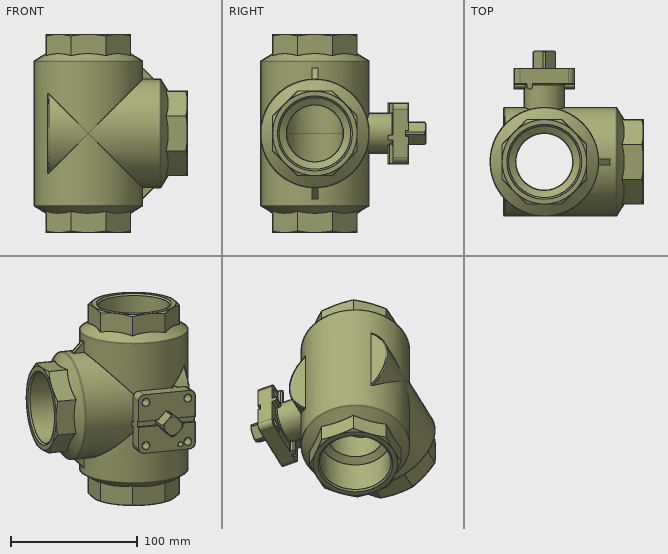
import cadquery as cq
import math


body_diameter = 86.0
body_radius = body_diameter / 2
port_reach = 78.5
shoulder_reach = 57.3
shoulder_angle = 32.0
back_face_reach = 32.2
buried_start = 31.4
branch_edge_round = 1.0
run_edge_round = 0.6

octagon_flats = 66.9
octagon_edge_angle = 25.0
bore_diameter = 45.0
thread_diameter = 56.7
thread_mouth_diameter = 59.3
thread_depth = 30.8
thread_floor_angle = 30.0

web_thickness = 4.7
web_reach = 94.8

neck_diameter = 32.0
collar_diameter = 33.9
collar_height = 1.0
flange_side = 48.0
flange_corner_radius = 4.9
flange_bottom = 61.9
flange_top = 74.1
flange_hole_diameter = 6.5
flange_hole_offset = 17.7
pin_hole_diameter = 4.1
pin_hole_x = -11.6
pin_hole_z = -19.5
notch_width = 4.5
notch_depth = 2.2
drive_side = 14.0
drive_diameter = 17.9
drive_top = 87.9
drive_bevel_height = 1.0
drive_bevel_width = 1.4

rib_width = 4.1
rib_height = 4.1
rib_tip_bevel_height = 1.4
rib_tip_bevel_width = 1.0
rib_foot = 0.6
z_rib_inner_end = 7.0
x_rib_inner_end = 14.1
z_rib_offset = 11.6
x_rib_offset = 3.3


def tan_deg(angle):
    return math.tan(math.radians(angle))


def revolve_about_z(points):
    """Solid of revolution about Z from (radius, height) points."""
    return cq.Workplane("XZ").polyline(points).close().revolve(360, (0, 0), (0, 1))


def revolve_about_y(points):
    """Solid of revolution about Y from (radius, height) points."""
    return cq.Workplane("XY").polyline(points).close().revolve(360, (0, 0), (0, 1))


def turn_to_x(solid):
    """Swing a solid built along +Z so that it points along +X."""
    return solid.rotate((0, 0, 0), (0, 1, 0), 90)


def cylinder_y(diameter, start, end):
    """Cylinder on the Y axis between two heights."""
    return cq.Workplane("XZ", origin=(0, start, 0)).circle(diameter / 2).extrude(start - end)


def shoulder_profile():
    """Points of the cylinder edge and the conical shoulder around a port, along +Z."""
    inner_radius = thread_diameter / 2
    height = (body_radius - inner_radius) * tan_deg(shoulder_angle)
    return [
        (body_radius, shoulder_reach),
        (inner_radius, shoulder_reach + height),
        (0, shoulder_reach + height),
    ]


def round_rim(solid, height, radius):
    """Round the outer circular edge at a given height on Z."""
    near = cq.selectors.BoxSelector(
        (-body_radius - 1.5, -body_radius - 1.5, height - 0.2),
        (body_radius + 1.5, body_radius + 1.5, height + 0.2),
        boundingbox=True,
    )
    return solid.edges(near).edges("%CIRCLE").fillet(radius)


def octagon_end():
    """Octagonal port end along +Z with its corners bevelled at the end face."""
    corner_diameter = octagon_flats / math.cos(math.pi / 8)
    prism = (
        cq.Workplane("XY", origin=(0, 0, buried_start))
        .transformed(rotate=(0, 0, 22.5))
        .polygon(8, corner_diameter)
        .extrude(port_reach - buried_start)
    )
    flat_radius = octagon_flats / 2
    drop = tan_deg(octagon_edge_angle) * (body_radius - flat_radius)
    envelope = revolve_about_z([
        (0, 0),
        (body_radius, 0),
        (body_radius, port_reach - drop),
        (flat_radius, port_reach),
        (0, port_reach),
    ])
    return prism.intersect(envelope)


def port_bore():
    """Bore from the centre out through one port along +Z."""
    bore_radius = bore_diameter / 2
    thread_radius = thread_diameter / 2
    mouth_radius = thread_mouth_diameter / 2
    thread_floor = port_reach - thread_depth
    cone_height = (thread_radius - bore_radius) * tan_deg(thread_floor_angle)
    return revolve_about_z([
        (0, 0),
        (bore_radius, 0),
        (bore_radius, thread_floor - cone_height),
        (thread_radius, thread_floor),
        (thread_radius, port_reach - (mouth_radius - thread_radius)),
        (mouth_radius, port_reach),
        (0, port_reach),
    ])


def run():
    """Run along Z with a shoulder and an octagonal end at both ports."""
    upper = shoulder_profile()
    lower = [(radius, -height) for radius, height in reversed(upper)]
    solid = revolve_about_z(lower + upper)
    for height in (-shoulder_reach, shoulder_reach):
        solid = round_rim(solid, height, run_edge_round)
    end = octagon_end()
    return solid.union(end).union(end.mirror("XY"))


def branch():
    """Branch along +X, carried past the run to a flat on the -X side."""
    back = [(0, -back_face_reach), (body_radius, -back_face_reach)]
    solid = revolve_about_z(back + shoulder_profile())
    for height in (-back_face_reach, shoulder_reach):
        solid = round_rim(solid, height, branch_edge_round)
    return turn_to_x(solid.union(octagon_end()))


def corner_webs():
    """Thin triangular webs in the two corners between run and branch."""
    root = buried_start
    tip = web_reach - root
    web = (
        cq.Workplane("XZ")
        .polyline([(root, root), (tip, root), (root, tip)])
        .close()
        .extrude(web_thickness / 2, both=True)
    )
    return web.union(web.mirror("XY"))


def neck():
    """Round neck with a conical collar where it meets the flange."""
    return revolve_about_y([
        (0, buried_start),
        (neck_diameter / 2, buried_start),
        (neck_diameter / 2, flange_bottom - collar_height),
        (collar_diameter / 2, flange_bottom),
        (0, flange_bottom),
    ])


def flange():
    """Square actuator flange with bolt holes, a pin hole and a notch across its top."""
    height = flange_top - flange_bottom
    plate = (
        cq.Workplane("XY")
        .box(flange_side, height, flange_side)
        .edges("|Y")
        .fillet(flange_corner_radius)
        .translate((0, flange_bottom + height / 2, 0))
    )
    for x in (-flange_hole_offset, flange_hole_offset):
        for z in (-flange_hole_offset, flange_hole_offset):
            hole = cylinder_y(flange_hole_diameter, flange_bottom, flange_top)
            plate = plate.cut(hole.translate((x, 0, z)))
    pin_hole = cylinder_y(pin_hole_diameter, flange_bottom, flange_top)
    plate = plate.cut(pin_hole.translate((pin_hole_x, 0, pin_hole_z)))
    notch = cq.Workplane("XY").box(flange_side, 2 * notch_depth, notch_width)
    return plate.cut(notch.translate((0, flange_top, 0)))


def rib(inner_end):
    """Bevel-tipped rib along +Z, running out to the flange edge; foot bevel on its -X flank."""
    half = rib_width / 2
    root = flange_bottom + rib_foot
    tip = flange_bottom - rib_height
    profile = (
        cq.Workplane("XY", origin=(0, 0, inner_end))
        .moveTo(-half - rib_foot, root)
        .lineTo(-half - rib_foot, flange_bottom)
        .lineTo(-half, flange_bottom - rib_foot)
        .lineTo(-half, tip + rib_tip_bevel_height)
        .lineTo(-half + rib_tip_bevel_width, tip)
        .lineTo(half - rib_tip_bevel_width, tip)
        .lineTo(half, tip + rib_tip_bevel_height)
        .lineTo(half, root)
        .close()
    )
    return profile.extrude(flange_side / 2 - inner_end)


def flange_ribs():
    """Four ribs under the flange, one to each side."""
    upper = rib(z_rib_inner_end).translate((-z_rib_offset, 0, 0))
    lower = upper.mirror("XY").translate((2 * z_rib_offset, 0, 0))
    left = (
        rib(x_rib_inner_end)
        .mirror("YZ")
        .rotate((0, 0, 0), (0, 1, 0), -90)
        .translate((0, 0, x_rib_offset))
    )
    right = left.mirror("YZ").translate((0, 0, -2 * x_rib_offset))
    return upper.union(lower).union(left).union(right)


def square_drive():
    """Square drive standing on a corner, its corners turned to a diameter."""
    square = (
        cq.Workplane("XZ", origin=(0, flange_bottom, 0))
        .transformed(rotate=(0, 0, 45))
        .rect(drive_side, drive_side)
        .extrude(flange_bottom - drive_top)
    )
    radius = drive_diameter / 2
    turned = revolve_about_y([
        (0, flange_bottom),
        (radius, flange_bottom),
        (radius, drive_top - drive_bevel_height),
        (radius - drive_bevel_width, drive_top),
        (0, drive_top),
    ])
    return square.intersect(turned)


body = run().union(branch()).union(corner_webs())
body = body.union(neck()).union(flange()).union(flange_ribs()).union(square_drive())

bore = port_bore()
result = body.cut(bore).cut(bore.mirror("XY")).cut(turn_to_x(bore))